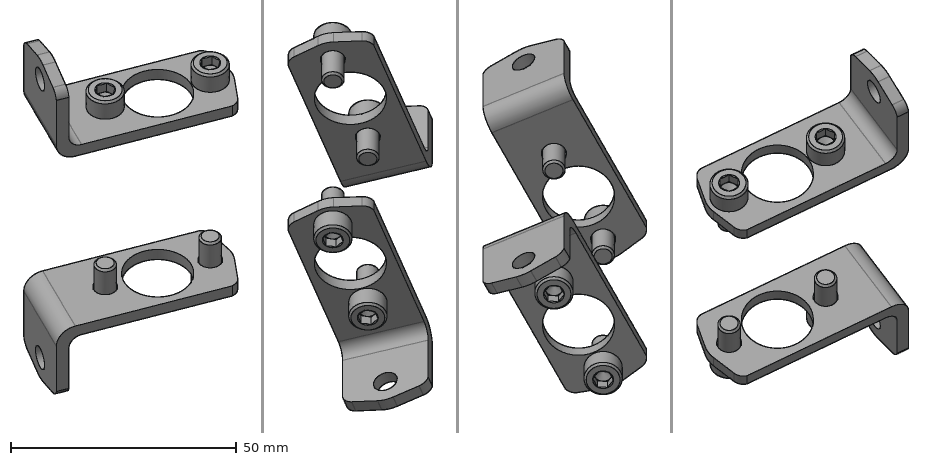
import cadquery as cq
import math

WIDTH = 20.0
THICKNESS = 3.0
BASE_LENGTH = 45.85
FLANGE_HEIGHT = 21.85
INNER_BEND_RADIUS = 3.0
OUTER_BEND_RADIUS = 4.5
BRACKET_GAP = 50.0

END_SLOPE = math.radians(15)
TIP_RADIUS = 7.0
CORNER_RADIUS = 3.0

SCREW_SPACING = 25.0
FIRST_SCREW_Y = 15.5
SCREW_POSITIONS = [FIRST_SCREW_Y, FIRST_SCREW_Y + SCREW_SPACING]
SCREW_HOLE_DIAMETER = 5.5
LARGE_HOLE_DIAMETER = 16.0
LARGE_HOLE_Y = FIRST_SCREW_Y + SCREW_SPACING / 2
FLANGE_HOLE_DIAMETER = 5.5
FLANGE_HOLE_HEIGHT = 16.0

SHANK_DIAMETER = 5.0
SHANK_LENGTH = 10.0
SHANK_CHAMFER = 0.5
HEAD_DIAMETER = 8.5
HEAD_HEIGHT = 5.0
HEAD_CHAMFER = 0.5
SOCKET_WIDTH = 4.0
SOCKET_CORNERS = SOCKET_WIDTH / math.cos(math.pi / 6)
SOCKET_TURN = 30.0
SOCKET_DEPTH = 2.5
SOCKET_POINT_ANGLE = math.radians(120)


def pointed_outline(workplane, length):
    """Closed outline from a straight edge at 0 to a blunt pointed tip at the given length."""
    half_width = WIDTH / 2
    sine = math.sin(END_SLOPE)
    cosine = math.cos(END_SLOPE)

    tip_x = TIP_RADIUS * sine
    tip_y = length - TIP_RADIUS * (1 - cosine)

    corner_size = CORNER_RADIUS * (cosine - sine)
    corner_x = half_width - corner_size
    corner_y = tip_y - (corner_x - tip_x) * math.tan(END_SLOPE)
    side_y = corner_y - corner_size
    middle_x = half_width - CORNER_RADIUS * (cosine - math.sqrt(0.5))
    middle_y = corner_y - CORNER_RADIUS * (cosine - math.sqrt(0.5))

    return (
        workplane.moveTo(-half_width, 0)
        .lineTo(half_width, 0)
        .lineTo(half_width, side_y)
        .threePointArc((middle_x, middle_y), (corner_x, corner_y))
        .lineTo(tip_x, tip_y)
        .threePointArc((0, length), (-tip_x, tip_y))
        .lineTo(-corner_x, corner_y)
        .threePointArc((-middle_x, middle_y), (-half_width, side_y))
        .close()
    )


def make_bracket():
    """Bracket with its base on Z = 0 and the outer face of its flange on Y = 0."""
    base = pointed_outline(cq.Workplane("XY"), BASE_LENGTH).extrude(THICKNESS)
    flange = pointed_outline(cq.Workplane("XZ"), FLANGE_HEIGHT).extrude(-THICKNESS)
    bracket = base.union(flange)

    inner_edge = cq.selectors.NearestToPointSelector((0, THICKNESS, THICKNESS))
    bracket = bracket.edges(inner_edge).fillet(INNER_BEND_RADIUS)
    outer_edge = cq.selectors.NearestToPointSelector((0, 0, 0))
    bracket = bracket.edges(outer_edge).fillet(OUTER_BEND_RADIUS)

    screw_holes = (
        cq.Workplane("XY")
        .pushPoints([(0, y) for y in SCREW_POSITIONS])
        .circle(SCREW_HOLE_DIAMETER / 2)
        .extrude(THICKNESS)
    )
    large_hole = (
        cq.Workplane("XY")
        .center(0, LARGE_HOLE_Y)
        .circle(LARGE_HOLE_DIAMETER / 2)
        .extrude(THICKNESS)
    )
    flange_hole = (
        cq.Workplane("XZ")
        .center(0, FLANGE_HOLE_HEIGHT)
        .circle(FLANGE_HOLE_DIAMETER / 2)
        .extrude(-THICKNESS)
    )
    return bracket.cut(screw_holes).cut(large_hole).cut(flange_hole)


def make_socket():
    """Cutter for the hexagon socket, its mouth on Z = 0, with conical mouth and bottom."""
    hexagon = cq.Workplane("XY").polygon(6, SOCKET_CORNERS).extrude(-SOCKET_DEPTH)
    hexagon = hexagon.rotate((0, 0, 0), (0, 0, 1), SOCKET_TURN)

    half_point = SOCKET_POINT_ANGLE / 2
    mouth_depth = SOCKET_CORNERS / 2 / math.tan(half_point)
    bottom_depth = SOCKET_WIDTH / 2 / math.tan(half_point)
    mouth = cq.Solid.makeCone(
        SOCKET_CORNERS / 2, 0, mouth_depth, dir=cq.Vector(0, 0, -1)
    )
    bottom = cq.Solid.makeCone(
        SOCKET_WIDTH / 2, 0, bottom_depth, cq.Vector(0, 0, -SOCKET_DEPTH), cq.Vector(0, 0, -1)
    )
    return hexagon.union(cq.Workplane(mouth)).union(cq.Workplane(bottom))


def make_screw():
    """Screw along Z with the underside of its head on Z = 0 and the shank below."""
    head = (
        cq.Workplane("XY")
        .circle(HEAD_DIAMETER / 2)
        .extrude(HEAD_HEIGHT)
        .faces(">Z")
        .edges()
        .chamfer(HEAD_CHAMFER)
    )
    shank = (
        cq.Workplane("XY")
        .circle(SHANK_DIAMETER / 2)
        .extrude(-SHANK_LENGTH)
        .faces("<Z")
        .edges()
        .chamfer(SHANK_CHAMFER)
    )
    socket = make_socket().translate((0, 0, HEAD_HEIGHT))
    return head.union(shank).cut(socket)


base_height = BRACKET_GAP / 2
upper_bracket = make_bracket().translate((0, 0, base_height))
upper_bodies = [upper_bracket.val()]
for screw_y in SCREW_POSITIONS:
    screw = make_screw().translate((0, screw_y, base_height + THICKNESS))
    upper_bodies.append(screw.val())

lower_bodies = [body.mirror("XY") for body in upper_bodies]

result = cq.Compound.makeCompound(upper_bodies + lower_bodies)